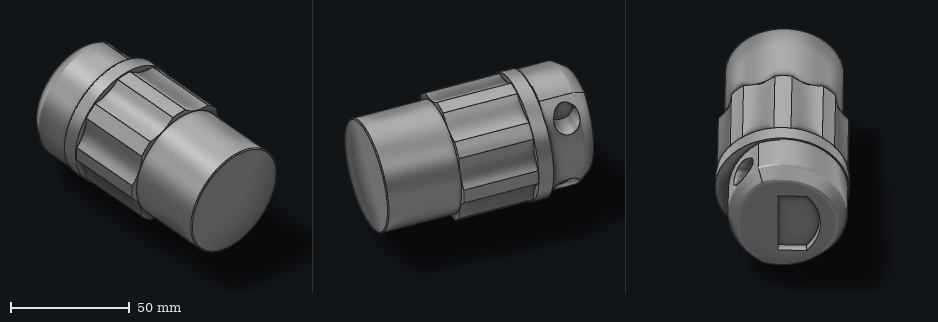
import cadquery as cq
import math

LENGTH = 96.1
RING_START = 22.2
RING_END = 28.9
GRIP_END = 62.6
RING_DIAMETER = 56.5
BARREL_DIAMETER = 49.95
BARREL_EDGE_CHAMFER = 0.5

GRIP_RADIUS = 27.7
FLUTE_COUNT = 8
FLUTE_SPAN = 30.0
FLUTE_FLOOR_RADIUS = 25.3

HEAD_RADIUS = GRIP_RADIUS
HEAD_CORNER_Y = 9.9
HEAD_BACK_Y = 22.7
HEAD_CORNER_Z = math.sqrt(HEAD_RADIUS**2 - HEAD_CORNER_Y**2)
BEVEL_LENGTH = 5.9
BEVEL_ANGLE = 35.0
BEVEL_BLEND_RADIUS = 1.9
SELECTION_MARGIN = 0.1

SPLIT_Y = 1.4
CLAMP_GAP = 0.6

SCREW_RECESS_DIAMETER = 11.5
SCREW_X = 11.8
SCREW_Z = 18.25
SCREW_SEAT_Y = 9.6

POCKET_HALF_HEIGHT = 15.2
POCKET_CORNER_Y = -10.7
POCKET_TIP_Y = -16.4
POCKET_DEPTH = 2.9
POCKET_DRAFT = 10.0


def section(x):
    """Cross-section workplane at x: local x is +Y, local y is +Z, normal is +X."""
    return cq.Workplane("YZ", origin=(x, 0, 0))


def polar(radius, degrees):
    """Cross-section point at the given angle from +Y."""
    angle = math.radians(degrees)
    return radius * math.cos(angle), radius * math.sin(angle)


def head_outline(plane):
    return (
        plane.moveTo(HEAD_CORNER_Y, HEAD_CORNER_Z)
        .threePointArc((-HEAD_RADIUS, 0), (HEAD_CORNER_Y, -HEAD_CORNER_Z))
        .threePointArc((HEAD_BACK_Y, 0), (HEAD_CORNER_Y, HEAD_CORNER_Z))
        .close()
    )


def make_head():
    straight = head_outline(section(BEVEL_LENGTH)).extrude(RING_START - BEVEL_LENGTH)
    toward_end = cq.Workplane(cq.Plane((BEVEL_LENGTH, 0, 0), xDir=(0, 1, 0), normal=(-1, 0, 0)))
    bevel = head_outline(toward_end).extrude(BEVEL_LENGTH, taper=BEVEL_ANGLE)
    head = straight.union(bevel)
    bevel_edges = cq.selectors.BoxSelector(
        (BEVEL_LENGTH - SELECTION_MARGIN, -RING_DIAMETER, -RING_DIAMETER),
        (BEVEL_LENGTH + SELECTION_MARGIN, RING_DIAMETER, RING_DIAMETER),
    )
    blended = head.edges(bevel_edges).fillet(BEVEL_BLEND_RADIUS)
    return blended.faces("<X").edges().fillet(BEVEL_BLEND_RADIUS)


def make_grip():
    pitch = 360.0 / FLUTE_COUNT
    land_span = pitch - FLUTE_SPAN
    outline = section(RING_END).moveTo(*polar(GRIP_RADIUS, -land_span / 2))
    for index in range(FLUTE_COUNT):
        land_middle = index * pitch
        land_finish = land_middle + land_span / 2
        flute_middle = land_middle + pitch / 2
        flute_finish = land_finish + FLUTE_SPAN
        outline = outline.threePointArc(
            polar(GRIP_RADIUS, land_middle), polar(GRIP_RADIUS, land_finish)
        ).threePointArc(
            polar(FLUTE_FLOOR_RADIUS, flute_middle), polar(GRIP_RADIUS, flute_finish)
        )
    return outline.close().extrude(GRIP_END - RING_END)


def make_barrel():
    barrel = section(RING_START).circle(BARREL_DIAMETER / 2).extrude(LENGTH - RING_START)
    return barrel.faces(">X").edges().chamfer(BARREL_EDGE_CHAMFER)


def make_clamp_gap():
    """Slot that frees the +Y half of the head from the ring."""
    return cq.Workplane("XY").box(
        CLAMP_GAP, RING_DIAMETER, RING_DIAMETER, centered=(False, False, True)
    ).translate((RING_START - CLAMP_GAP, SPLIT_Y, 0))


def make_screw_recesses():
    seat_plane = cq.Plane((SCREW_X, SCREW_SEAT_Y, 0), xDir=(1, 0, 0), normal=(0, 1, 0))
    return (
        cq.Workplane(seat_plane)
        .pushPoints([(0, -SCREW_Z), (0, SCREW_Z)])
        .circle(SCREW_RECESS_DIAMETER / 2)
        .extrude(RING_DIAMETER / 2)
    )


def make_pocket():
    """D-shaped pocket with drafted walls, cut off square at the split plane."""
    overrun_y = SPLIT_Y + POCKET_DEPTH
    drafted = (
        section(0)
        .moveTo(overrun_y, POCKET_HALF_HEIGHT)
        .lineTo(POCKET_CORNER_Y, POCKET_HALF_HEIGHT)
        .threePointArc((POCKET_TIP_Y, 0), (POCKET_CORNER_Y, -POCKET_HALF_HEIGHT))
        .lineTo(overrun_y, -POCKET_HALF_HEIGHT)
        .close()
        .extrude(POCKET_DEPTH, taper=POCKET_DRAFT)
    )
    minus_y_side = cq.Workplane("XY").box(
        POCKET_DEPTH, RING_DIAMETER, RING_DIAMETER, centered=(False, False, True)
    ).translate((0, SPLIT_Y - RING_DIAMETER, 0))
    return drafted.intersect(minus_y_side)


ring = section(RING_START).circle(RING_DIAMETER / 2).extrude(RING_END - RING_START)
head = make_head().cut(make_clamp_gap()).cut(make_screw_recesses()).cut(make_pocket())
result = head.union(ring).union(make_grip()).union(make_barrel())